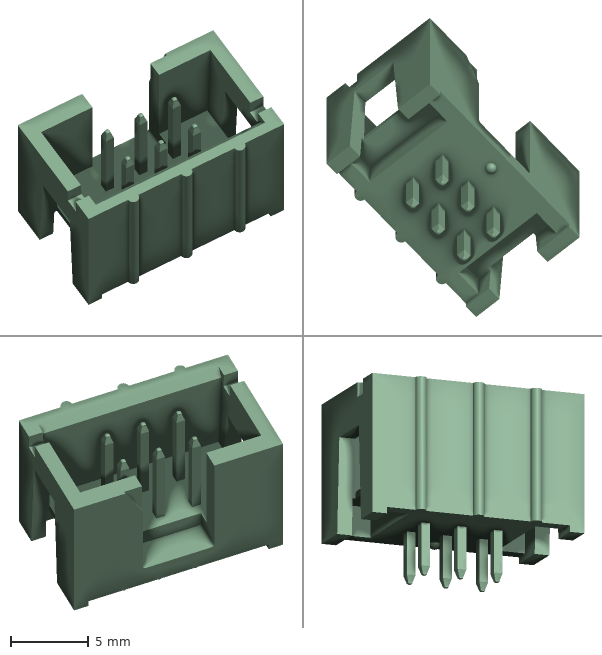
import cadquery as cq


body_width = 8.88
body_length = 14.83
body_height = 8.9
half_length = body_length / 2

keyed_wall = 1.28
back_wall = 1.26
end_wall_top = 1.0
end_wall_floor = 1.23
floor_top = 2.49
floor_thickness = 0.46
lead_in_width = 0.52
lead_in_height = 0.53

key_width = 5.05
key_bottom = 1.41
key_reach = 2.15
key_corner_radius = 0.2

mark_width = 1.26
mark_height = 2.18
mark_depth = 0.18

near_window_top = 5.98
far_window_top = 6.72
window_foot_x = (2.75, 6.88)
window_side_slope = 0.057
notch_left = 6.27
notch_width = 1.0
notch_depth = 1.0

foot_height = 0.43
foot_length = 1.02
hollow_wall = 1.08
core_half_length = 4.42

rib_radius = 0.39
rib_pitch = 4.03
bump_radius = 0.39
bump_x = 1.19

pin_pitch = 2.54
pin_middle_x = 4.45
pin_width = 0.61
pin_top = 8.54
pin_bottom = -3.47
point_length = 0.61
tip_length = 0.12
tip_width = 0.3
tip_radius = 0.25


def box(x_range, y_range, z_range):
    """Box between the given limits along each axis."""
    lows, highs = zip(x_range, y_range, z_range)
    sizes = [high - low for low, high in zip(lows, highs)]
    return cq.Workplane("XY").box(*sizes, centered=False).translate(lows)


def on_both_ends(feature):
    """The feature together with its mirror image in the Y = 0 plane."""
    return feature.union(feature.mirror("XZ"))


def make_block():
    """Solid outer block with a foot along each end."""
    block = box((0, body_width), (-half_length, half_length), (0, body_height))
    foot = box((0, body_width), (-half_length, foot_length - half_length), (-foot_height, 0))
    return block.union(on_both_ends(foot))


def make_cavity():
    """Mating cavity with drafted end walls and a lead-in chamfer on the back wall."""
    back = body_width - back_wall
    floor_y = half_length - end_wall_floor
    top_y = half_length - end_wall_top
    drafted_outline = [
        (-floor_y, floor_top),
        (floor_y, floor_top),
        (top_y, body_height),
        (-top_y, body_height),
    ]
    width_outline = [
        (keyed_wall, floor_top),
        (back, floor_top),
        (back, body_height - lead_in_height),
        (back + lead_in_width, body_height),
        (keyed_wall, body_height),
    ]
    drafted = cq.Workplane("YZ").polyline(drafted_outline).close().extrude(body_width)
    chamfered = cq.Workplane("XZ").polyline(width_outline).close().extrude(half_length, both=True)
    return drafted.intersect(chamfered)


def make_key_slot():
    """Keying slot, cut through the wall and on into the floor."""
    slot = box((0, key_reach), (-key_width / 2, key_width / 2), (key_bottom, body_height))
    return slot.edges("|X and <Z").fillet(key_corner_radius)


def make_pin_one_mark():
    """Shallow triangular recess on the outer face, next to the slot."""
    edge = key_width / 2
    corners = [
        (edge, body_height),
        (edge + mark_width, body_height),
        (edge, body_height - mark_height),
    ]
    return cq.Workplane("YZ").polyline(corners).close().extrude(mark_depth)


def make_window(top):
    """Tapered window in the -Y end wall, open at the bottom, as deep as the wall is thick at the floor."""
    left, right = window_foot_x
    inset = window_side_slope * (top + foot_height)
    corners = [
        (left, -foot_height),
        (right, -foot_height),
        (right - inset, top),
        (left + inset, top),
    ]
    window = cq.Workplane("XZ").polyline(corners).close().extrude(end_wall_floor)
    return window.translate((0, end_wall_floor - half_length, 0))


def make_notch():
    """Square notch in the top edge of the -Y end wall."""
    return box(
        (notch_left, notch_left + notch_width),
        (-half_length, end_wall_floor - half_length),
        (body_height - notch_depth, body_height),
    )


def make_hollow():
    """Hollow under the floor between the -Y foot and the pin core."""
    return box(
        (hollow_wall, body_width - hollow_wall),
        (foot_length - half_length, -core_half_length),
        (-foot_height, floor_top - floor_thickness),
    )


def make_ribs():
    """Three half-round ribs over the height of the back face."""
    centers = [(body_width, step * rib_pitch) for step in (-1, 0, 1)]
    return cq.Workplane("XY").pushPoints(centers).circle(rib_radius).extrude(body_height)


def make_bump():
    """Round standoff bump, half of it standing out below the body."""
    return cq.Workplane("XY").sphere(bump_radius).translate((bump_x, 0, 0))


def make_point():
    """Pin end pointing up from Z = 0: a four-sided taper and a small domed tip."""
    taper_length = point_length - tip_length
    taper = (
        cq.Workplane("XY")
        .rect(pin_width, pin_width)
        .workplane(offset=taper_length)
        .rect(tip_width, tip_width)
        .loft()
    )
    tip = cq.Workplane("XY").box(tip_width, tip_width, tip_length, centered=(True, True, False))
    dome = cq.Workplane("XY").sphere(tip_radius).translate((0, 0, tip_length - tip_radius))
    tip = tip.intersect(dome)
    return taper.union(tip.translate((0, 0, taper_length)))


def make_pin():
    """Square pin on the Z axis, pointed at both ends."""
    shank_top = pin_top - point_length
    shank_bottom = pin_bottom + point_length
    half_width = pin_width / 2
    shank = box((-half_width, half_width), (-half_width, half_width), (shank_bottom, shank_top))
    point = make_point()
    upper_point = point.translate((0, 0, shank_top))
    lower_point = point.mirror("XY").translate((0, 0, shank_bottom))
    return shank.union(upper_point).union(lower_point)


housing = (
    make_block()
    .cut(make_cavity())
    .cut(make_key_slot())
    .cut(make_pin_one_mark())
    .cut(make_window(near_window_top))
    .cut(make_window(far_window_top).mirror("XZ"))
    .cut(on_both_ends(make_notch()))
    .cut(on_both_ends(make_hollow()))
    .union(make_ribs())
    .union(make_bump())
)

result = housing
pin = make_pin()
for column in (-0.5, 0.5):
    for row in (-1, 0, 1):
        place = (pin_middle_x + column * pin_pitch, row * pin_pitch, 0)
        result = result.union(pin.translate(place))